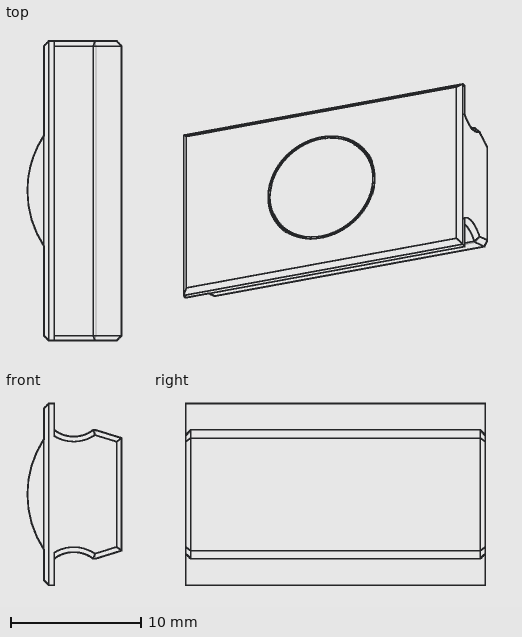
import cadquery as cq
import math

LENGTH = 23.05
PLATE_HEIGHT = 14.0
PLATE_THICKNESS = 0.8
PLATE_CHAMFER = 0.4
BODY_DEPTH = 6.0
BLOCK_CHAMFER = 0.4

LAND_HALF_HEIGHT = 4.95
BACK_HALF_HEIGHT = 4.33
LAND_WIDTH = 0.18

GROOVE_WIDTH = 3.0
GROOVE_DEPTH = 0.5

LENS_DIAMETER = 8.5
LENS_RISE = 1.27
SEAT_DIAMETER = 8.8
SEAT_DEPTH = 0.37

GROOVE_END_X = PLATE_THICKNESS + GROOVE_WIDTH
LAND_END_X = GROOVE_END_X + LAND_WIDTH
GROOVE_CENTER_X = PLATE_THICKNESS + GROOVE_WIDTH / 2
GROOVE_RADIUS = ((GROOVE_WIDTH / 2) ** 2 + GROOVE_DEPTH ** 2) / (2 * GROOVE_DEPTH)
GROOVE_CENTER_Z = LAND_HALF_HEIGHT - GROOVE_DEPTH + GROOVE_RADIUS


def make_plate():
    """Rectangular plate with its front edges bevelled."""
    plate = cq.Workplane("XY").box(PLATE_THICKNESS, LENGTH, PLATE_HEIGHT, centered=(False, True, True))
    return plate.faces("<X").chamfer(PLATE_CHAMFER)


def make_block():
    """Block behind the plate, tapering to the back, with its end edges bevelled."""
    section = [
        (PLATE_THICKNESS, -LAND_HALF_HEIGHT),
        (LAND_END_X, -LAND_HALF_HEIGHT),
        (BODY_DEPTH, -BACK_HALF_HEIGHT),
        (BODY_DEPTH, BACK_HALF_HEIGHT),
        (LAND_END_X, LAND_HALF_HEIGHT),
        (PLATE_THICKNESS, LAND_HALF_HEIGHT),
    ]
    block = cq.Workplane("XZ").polyline(section).close().extrude(LENGTH / 2, both=True)
    return block.faces("<Y or >Y").edges("not <X").chamfer(BLOCK_CHAMFER)


def make_groove_cutter(side):
    """Cylinder along Y, flared at both ends, for the groove on one side (+1 top, -1 bottom)."""
    half_length = LENGTH / 2
    flared_radius = GROOVE_RADIUS + BLOCK_CHAMFER
    half_section = [
        (0, -half_length),
        (flared_radius, -half_length),
        (GROOVE_RADIUS, -half_length + BLOCK_CHAMFER),
        (GROOVE_RADIUS, half_length - BLOCK_CHAMFER),
        (flared_radius, half_length),
        (0, half_length),
    ]
    cutter = cq.Workplane("XY").polyline(half_section).close().revolve(360, (0, 0, 0), (0, 1, 0))
    return cutter.translate((GROOVE_CENTER_X, 0, side * GROOVE_CENTER_Z))


def make_lens_seat():
    """Round recess in the front face of the plate."""
    return cq.Workplane("YZ").circle(SEAT_DIAMETER / 2).extrude(SEAT_DEPTH)


def make_housing():
    """Plate and grooved block as one solid, with the lens seat cut into the front."""
    block = make_block()
    for side in (1, -1):
        block = block.cut(make_groove_cutter(side))
    return make_plate().union(block).cut(make_lens_seat())


def make_lens():
    """Round lens standing on the seat floor, with a spherical dome above the front face."""
    radius = LENS_DIAMETER / 2
    sphere_radius = (radius ** 2 + LENS_RISE ** 2) / (2 * LENS_RISE)
    half_angle = math.asin(radius / sphere_radius) / 2
    mid_x = -LENS_RISE + sphere_radius * (1 - math.cos(half_angle))
    mid_y = sphere_radius * math.sin(half_angle)
    half_section = (
        cq.Workplane("XY")
        .moveTo(SEAT_DEPTH, 0)
        .lineTo(SEAT_DEPTH, radius)
        .lineTo(0, radius)
        .threePointArc((mid_x, mid_y), (-LENS_RISE, 0))
        .close()
    )
    return half_section.revolve(360, (0, 0, 0), (1, 0, 0))


housing = make_housing()
lens = make_lens()
result = cq.Compound.makeCompound([housing.val(), lens.val()])